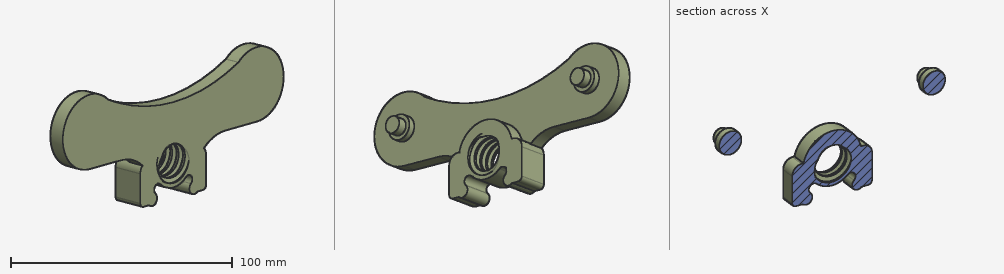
import cadquery as cq
import math


block_depth = 15.6
block_half_width = 21.4
shoulder_z = 3.6
shoulder_radius = 5.0
foot_z = -17.5
foot_corner_radius = 2.2
hub_radius = 15.8
hub_lower_radius = 12.3
pocket_radius = 2.5
toe_radius = 3.2
toe_angle = math.radians(48)
toe_distance = hub_lower_radius + 2 * pocket_radius + toe_radius
toe_depth = toe_distance * math.sin(toe_angle) + toe_radius

arm_length = 143.5
overall_height = 60.7
arm_thickness = 7.9
lobe_radius = 17.5
lobe_y = arm_length / 2 - lobe_radius
lobe_z = overall_height - toe_depth - lobe_radius
saddle_radius = 94.3
saddle_low_z = 27.7
gusset_radius = 20.7
gusset_start_y = 33.9

collar_diameter = 12.0
collar_reach = 11.3
pin_diameter = 8.0
pin_reach = 16.0

thread_minor_diameter = 16.2
thread_major_diameter = 20.5
thread_pitch = 4.0
thread_root_width = 1.6
thread_flank_angle = math.radians(15)
thread_phase = 48.0
bore_overlap = 0.5


def polar(distance, angle):
    """Point in the YZ plane at an angle measured from +Y toward +Z."""
    return (distance * math.cos(angle), distance * math.sin(angle))


def around(center, radius, angle):
    """Point on a circle in the YZ plane."""
    dy, dz = polar(radius, angle)
    return (center[0] + dy, center[1] + dz)


def mirrored(point):
    """The same point on the -Y half."""
    return (-point[0], point[1])


def saddle_end():
    """Point where the concave top edge crosses the +Y lobe circle."""
    saddle_center_z = saddle_low_z + saddle_radius
    dy = -lobe_y
    dz = saddle_center_z - lobe_z
    distance = math.hypot(dy, dz)
    along = (distance**2 + lobe_radius**2 - saddle_radius**2) / (2 * distance)
    turn = math.acos(along / lobe_radius)
    return around((lobe_y, lobe_z), lobe_radius, math.atan2(dz, dy) + turn)


def make_arm():
    lobe_bottom_z = lobe_z - lobe_radius
    gusset_center = (gusset_start_y, lobe_bottom_z - gusset_radius)
    gusset_end_y = block_half_width - shoulder_radius / 2
    gusset_end_angle = math.acos((gusset_end_y - gusset_start_y) / gusset_radius)
    gusset_mid_angle = (gusset_end_angle + math.pi / 2) / 2
    gusset_end = around(gusset_center, gusset_radius, gusset_end_angle)
    gusset_mid = around(gusset_center, gusset_radius, gusset_mid_angle)
    top = saddle_end()
    return (
        cq.Workplane("YZ")
        .moveTo(*gusset_end)
        .threePointArc(gusset_mid, (gusset_start_y, lobe_bottom_z))
        .lineTo(lobe_y, lobe_bottom_z)
        .threePointArc((lobe_y + lobe_radius, lobe_z), top)
        .threePointArc((0, saddle_low_z), mirrored(top))
        .threePointArc((-lobe_y - lobe_radius, lobe_z), (-lobe_y, lobe_bottom_z))
        .lineTo(-gusset_start_y, lobe_bottom_z)
        .threePointArc(mirrored(gusset_mid), mirrored(gusset_end))
        .close()
        .extrude(-arm_thickness)
    )


def make_block():
    ray = -toe_angle
    pocket_start = polar(hub_lower_radius, ray)
    pocket_center = polar(hub_lower_radius + pocket_radius, ray)
    pocket_mid = around(pocket_center, pocket_radius, ray + math.pi / 2)
    toe_start = polar(toe_distance - toe_radius, ray)
    toe_center = polar(toe_distance, ray)
    toe_mid = around(toe_center, toe_radius, ray - math.pi / 2)
    toe_end_y = toe_center[0] + math.sqrt(toe_radius**2 - (toe_center[1] - foot_z) ** 2)
    toe_end = (toe_end_y, foot_z)
    hub_end = (math.sqrt(hub_radius**2 - shoulder_z**2), shoulder_z)

    side = block_half_width
    corner = foot_corner_radius
    outline = (
        cq.Workplane("YZ")
        .moveTo(*mirrored(pocket_start))
        .threePointArc((0, -hub_lower_radius), pocket_start)
        .threePointArc(pocket_mid, toe_start)
        .threePointArc(toe_mid, toe_end)
        .lineTo(side - corner, foot_z)
        .tangentArcPoint((side, foot_z + corner), relative=False)
        .lineTo(side, shoulder_z - shoulder_radius)
        .tangentArcPoint((side - shoulder_radius, shoulder_z), relative=False)
        .lineTo(*hub_end)
        .threePointArc((0, hub_radius), mirrored(hub_end))
        .lineTo(shoulder_radius - side, shoulder_z)
        .tangentArcPoint((-side, shoulder_z - shoulder_radius), relative=False)
        .lineTo(-side, foot_z + corner)
        .tangentArcPoint((corner - side, foot_z), relative=False)
        .lineTo(*mirrored(toe_end))
        .threePointArc(mirrored(toe_mid), mirrored(toe_start))
        .threePointArc(mirrored(pocket_mid), mirrored(pocket_start))
        .close()
    )
    return outline.extrude(-block_depth)


def make_pins():
    places = [(-lobe_y, lobe_z), (lobe_y, lobe_z)]
    base = cq.Workplane("YZ").pushPoints(places)
    collars = base.circle(collar_diameter / 2).extrude(-collar_reach)
    pins = base.circle(pin_diameter / 2).extrude(-pin_reach)
    return collars.union(pins)


def make_bore():
    return cq.Workplane("YZ").circle(thread_minor_diameter / 2).extrude(-block_depth)


def make_thread_groove():
    """Helical groove, at least one pitch longer than the bore at each end."""
    minor_radius = thread_minor_diameter / 2
    major_radius = thread_major_diameter / 2
    inner_radius = minor_radius - bore_overlap
    half_root = thread_root_width / 2
    half_mouth = half_root + (major_radius - inner_radius) * math.tan(thread_flank_angle)
    turns = math.ceil(block_depth / thread_pitch) + 2
    helix = cq.Wire.makeHelix(thread_pitch, turns * thread_pitch, minor_radius)
    groove = (
        cq.Workplane("XZ")
        .polyline(
            [
                (inner_radius, -half_mouth),
                (major_radius, -half_root),
                (major_radius, half_root),
                (inner_radius, half_mouth),
            ]
        )
        .close()
        .sweep(cq.Workplane(helix), isFrenet=True)
    )
    return (
        groove.rotate((0, 0, 0), (0, 1, 0), 90)
        .rotate((0, 0, 0), (1, 0, 0), thread_phase)
        .translate((-block_depth - thread_pitch, 0, 0))
    )


body = make_arm().union(make_block()).union(make_pins())
result = body.cut(make_thread_groove()).cut(make_bore())